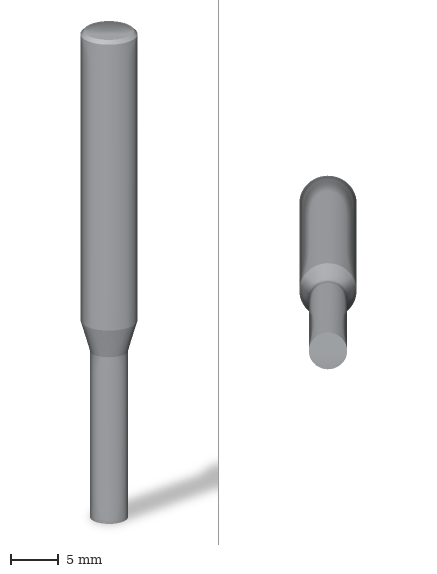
import cadquery as cq

total_length = 55.0
shank_diameter = 6.0
cutter_diameter = 4.0
neck_diameter = cutter_diameter

cutter_length = 16.4
taper_bottom = 18.85
taper_top = 22.3

end_chamfer = 0.4

shank_radius = shank_diameter / 2
neck_radius = neck_diameter / 2


def make_cutter():
    """Plain cylindrical cutting section, standing on the XY plane."""
    return cq.Workplane("XY").circle(cutter_diameter / 2).extrude(cutter_length)


def make_shank():
    """Neck, taper and shank turned as one solid, chamfered at the top end."""
    half_profile = (
        cq.Workplane("XZ")
        .moveTo(0, cutter_length)
        .lineTo(neck_radius, cutter_length)
        .lineTo(neck_radius, taper_bottom)
        .lineTo(shank_radius, taper_top)
        .lineTo(shank_radius, total_length)
        .lineTo(0, total_length)
        .close()
    )
    turned = half_profile.revolve(360, (0, 0, 0), (0, 1, 0))
    return turned.faces(">Z").chamfer(end_chamfer)


cutter = make_cutter()
shank = make_shank()

result = cq.Compound.makeCompound([cutter.val(), shank.val()])